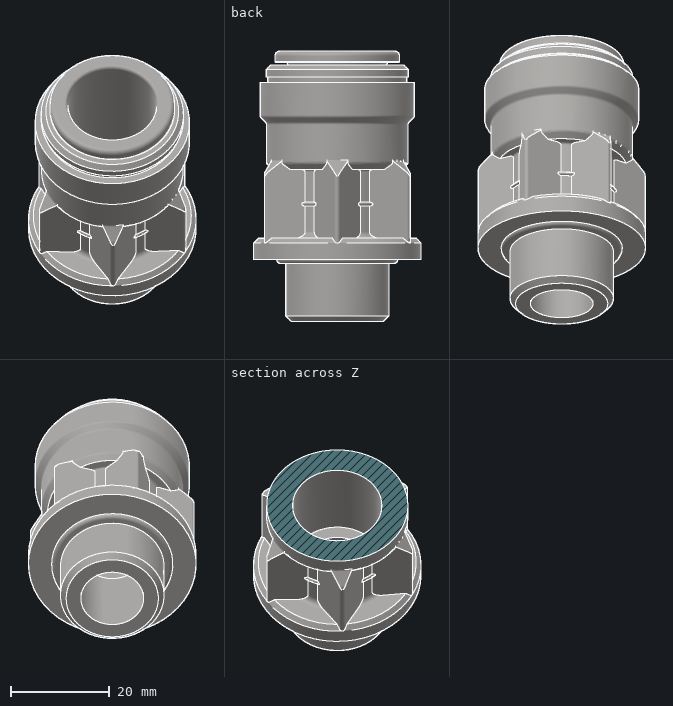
import cadquery as cq
import math

total_height = 54.8
flange_radius = 17.0

spigot_radius = 21.0 / 2
spigot_chamfer = 1.15
seat_bottom_z = 11.7
seat_radius = 12.3

flange_bottom_z = 12.55
flange_top_z = 16.9
flange_chamfer = 1.0

socket_radius = 9.0
socket_floor_z = flange_top_z
socket_rim_round = 0.7
hole_radius = 6.35

core_radius = 11.25
core_foot_fillet = 1.3
core_neck_fillet = 0.5
bead_z = 23.8
bead_round = 0.4

body_radius = 14.35
body_bottom_z = 30.8
body_bottom_radius = 13.15
edge_blend = 0.75

collar_radius = 31.3 / 2
collar_bottom_z = 41.45
collar_top_z = 48.45

step_radius = 14.15
step_top_z = 49.5
ring_radius = 28.9 / 2
ring_top_z = 52.0
ring_chamfer = 1.0
gap_bottom_radius = 10.05
gap_top_radius = 10.25
end_ring_radius = 12.65
end_ring_bottom_z = 52.5
end_ring_round = 1.05
end_ring_chamfer = 0.15

rib_count = 6
rib_first_angle = 30.0
rib_half_angle = math.radians(32.5)
rib_nose_radius = 0.65
rib_corner_z = 29.85
rib_corner_round = 1.4
rib_root_blend = 0.45

DIAGONAL = math.sqrt(0.5)
UP = (0, 1)
OUT_UP = (DIAGONAL, DIAGONAL)
IN_UP = (-DIAGONAL, DIAGONAL)
HALF_BEND = math.radians(45 / 2)


def revolve(outline):
    """Turn a closed (radius, height) outline around the Z axis."""
    return outline.close().revolve(360, (0, 0, 0), (0, 1, 0))


def blend_length(radius):
    """Distance from a 45 degree bend to the tangent point of its blend arc."""
    return radius * math.tan(HALF_BEND)


def blend_45(outline, corner, radius, start, end):
    """Run the outline to a 45 degree bend and round it; start and end are unit directions of travel."""
    reach = blend_length(radius)
    enter = (corner[0] - reach * start[0], corner[1] - reach * start[1])
    leave = (corner[0] + reach * end[0], corner[1] + reach * end[1])
    turn = (end[0] - start[0], end[1] - start[1])
    turn_size = math.hypot(*turn)
    sag = radius * (1 / math.cos(HALF_BEND) - 1)
    middle = (corner[0] + sag * turn[0] / turn_size, corner[1] + sag * turn[1] / turn_size)
    return outline.lineTo(*enter).threePointArc(middle, leave)


def make_body():
    seat_round = flange_bottom_z - seat_bottom_z
    outline = (
        cq.Workplane("XZ")
        .moveTo(0, 0)
        .lineTo(spigot_radius - spigot_chamfer, 0)
        .lineTo(spigot_radius, spigot_chamfer)
        .lineTo(spigot_radius, seat_bottom_z)
        .lineTo(seat_radius - seat_round, seat_bottom_z)
        .radiusArc((seat_radius, flange_bottom_z), -seat_round)
        .lineTo(flange_radius, flange_bottom_z)
        .lineTo(flange_radius, flange_top_z - flange_chamfer)
        .lineTo(flange_radius - flange_chamfer, flange_top_z)
        .lineTo(core_radius + core_foot_fillet, flange_top_z)
        .radiusArc((core_radius, flange_top_z + core_foot_fillet), core_foot_fillet)
        .lineTo(core_radius, bead_z - bead_round)
        .threePointArc((core_radius + bead_round, bead_z), (core_radius, bead_z + bead_round))
        .lineTo(core_radius, body_bottom_z - core_neck_fillet)
        .radiusArc((core_radius + core_neck_fillet, body_bottom_z), core_neck_fillet)
        .lineTo(body_bottom_radius, body_bottom_z)
    )
    body_corner_z = body_bottom_z + body_radius - body_bottom_radius
    collar_foot_z = collar_bottom_z - (collar_radius - body_radius)
    outline = blend_45(outline, (body_radius, body_corner_z), edge_blend, OUT_UP, UP)
    outline = blend_45(outline, (body_radius, collar_foot_z), edge_blend, UP, OUT_UP)
    outline = blend_45(outline, (collar_radius, collar_bottom_z), edge_blend, OUT_UP, UP)
    outline = (
        outline.lineTo(collar_radius, collar_top_z)
        .lineTo(step_radius, collar_top_z)
        .lineTo(step_radius, step_top_z)
        .lineTo(ring_radius, step_top_z)
        .lineTo(ring_radius, ring_top_z - ring_chamfer)
        .lineTo(ring_radius - ring_chamfer, ring_top_z)
        .lineTo(gap_bottom_radius, ring_top_z)
        .lineTo(gap_top_radius, end_ring_bottom_z)
        .lineTo(end_ring_radius - end_ring_chamfer, end_ring_bottom_z)
        .lineTo(end_ring_radius, end_ring_bottom_z + end_ring_chamfer)
        .lineTo(end_ring_radius, total_height - end_ring_round)
        .radiusArc((end_ring_radius - end_ring_round, total_height), -end_ring_round)
        .lineTo(0, total_height)
    )
    return revolve(outline)


def make_rib_envelope():
    """Turned outer shape of the ribs, with the sloped top that runs into the body."""
    slope_end_z = rib_corner_z + flange_radius - body_radius
    outline = (
        cq.Workplane("XZ")
        .moveTo(0, flange_bottom_z)
        .lineTo(flange_radius, flange_bottom_z)
    )
    outline = blend_45(outline, (flange_radius, rib_corner_z), rib_corner_round, UP, IN_UP)
    outline = blend_45(outline, (body_radius, slope_end_z), rib_root_blend, IN_UP, UP)
    outline = outline.lineTo(0, slope_end_z + blend_length(rib_root_blend))
    return revolve(outline)


def make_rib_prism():
    """Upright prism of one rib pointing along +X, from the axis out to the round nose."""
    nose_centre = flange_radius - rib_nose_radius
    tangent_x = nose_centre + rib_nose_radius * math.sin(rib_half_angle)
    tangent_y = rib_nose_radius * math.cos(rib_half_angle)
    root_x = (socket_radius + core_radius) / 2
    root_y = tangent_y + (tangent_x - root_x) * math.tan(rib_half_angle)
    return (
        cq.Workplane("XY")
        .workplane(offset=flange_bottom_z)
        .moveTo(0, 0)
        .lineTo(root_x, -root_y)
        .lineTo(tangent_x, -tangent_y)
        .threePointArc((flange_radius, 0), (tangent_x, tangent_y))
        .lineTo(root_x, root_y)
        .close()
        .extrude(total_height / 2)
    )


def make_ribs():
    prism = make_rib_prism()
    star = prism.rotate((0, 0, 0), (0, 0, 1), rib_first_angle)
    for index in range(1, rib_count):
        angle = rib_first_angle + index * 360 / rib_count
        star = star.union(prism.rotate((0, 0, 0), (0, 0, 1), angle))
    return make_rib_envelope().intersect(star)


def make_bore():
    rim_z = total_height - socket_rim_round
    outline = (
        cq.Workplane("XZ")
        .moveTo(0, 0)
        .lineTo(hole_radius, 0)
        .lineTo(hole_radius, socket_floor_z)
        .lineTo(socket_radius, socket_floor_z)
        .lineTo(socket_radius, rim_z)
        .radiusArc((socket_radius + socket_rim_round, total_height), socket_rim_round)
        .lineTo(0, total_height)
    )
    return revolve(outline)


result = make_body().union(make_ribs()).cut(make_bore())